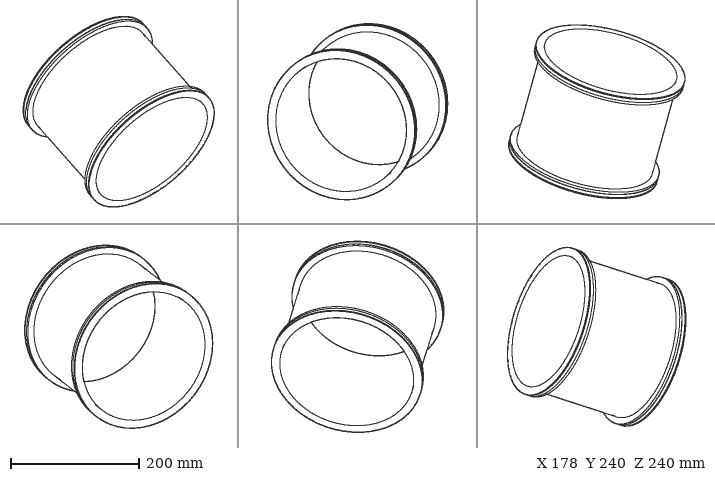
import cadquery as cq

length = 178.0
flange_diameter = 240.0
tube_diameter = 219.0
bore_diameter = 213.0
lip_width = 2.0
groove_width = 5.3
groove_depth = groove_width / 2
shoulder_width = 4.3

flange_width = lip_width + groove_width + shoulder_width
flange_radius = flange_diameter / 2


def tube_between(start, width, diameter):
    """Solid cylinder along X, from start to start + width."""
    return cq.Workplane("YZ", origin=(start, 0, 0)).circle(diameter / 2).extrude(width)


def groove_ring(center_x):
    """Ring with a semicircular section that cuts a round groove in a flange."""
    half_width = groove_width / 2
    return (
        cq.Workplane("XY")
        .moveTo(center_x - half_width, flange_radius)
        .threePointArc(
            (center_x, flange_radius - groove_depth),
            (center_x + half_width, flange_radius),
        )
        .close()
        .revolve(360, (0, 0, 0), (1, 0, 0))
    )


body = tube_between(-length / 2, length, tube_diameter)
for flange_start in (-length / 2, length / 2 - flange_width):
    body = body.union(tube_between(flange_start, flange_width, flange_diameter))

groove_offset = length / 2 - lip_width - groove_width / 2
for side in (-1, 1):
    body = body.cut(groove_ring(side * groove_offset))

result = body.cut(tube_between(-length / 2, length, bore_diameter))